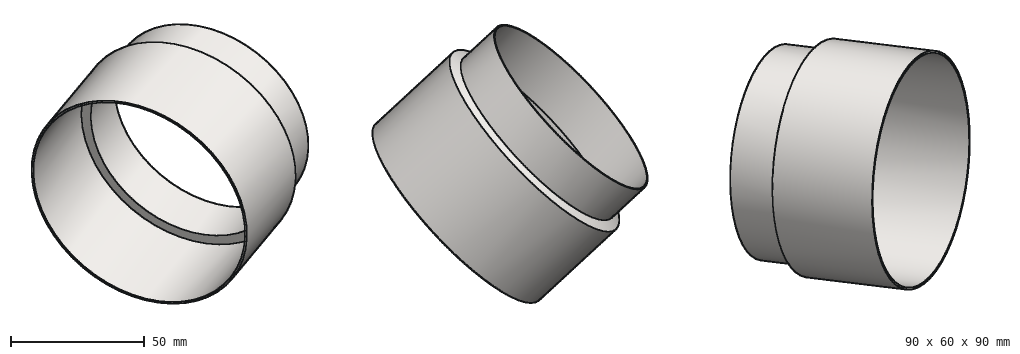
import cadquery as cq

length = 60.0
wide_diameter = 90.05
wide_bore = 88.4
narrow_diameter = 81.6
narrow_bore = 80.5
wide_length = 40.8
taper_length = 1.6
wide_bore_depth = 40.1

wide_radius = wide_diameter / 2
wide_bore_radius = wide_bore / 2
narrow_radius = narrow_diameter / 2
narrow_bore_radius = narrow_bore / 2
taper_end = wide_length + taper_length

wall_section = (
    cq.Workplane("ZY")
    .moveTo(wide_bore_radius, 0)
    .lineTo(wide_radius, 0)
    .lineTo(wide_radius, wide_length)
    .lineTo(narrow_radius, taper_end)
    .lineTo(narrow_radius, length)
    .lineTo(narrow_bore_radius, length)
    .lineTo(narrow_bore_radius, wide_bore_depth)
    .lineTo(wide_bore_radius, wide_bore_depth)
    .close()
)

result = wall_section.revolve(360, (0, 0, 0), (0, 1, 0))